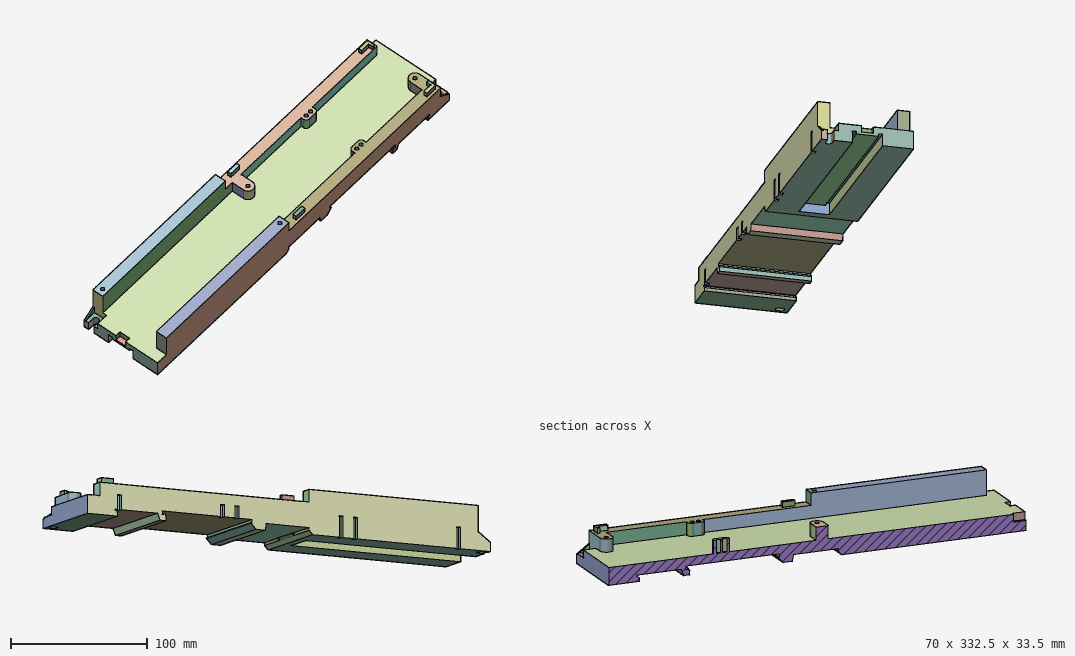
import cadquery as cq

WIDTH = 70.0
LENGTH = 332.5
HEIGHT = 33.5

FLOOR_Z = 14.0
RIM_Z = 24.0
TAB_Z = 28.0
PAD_Z = 8.0

WALL_WIDTH = 9.5
WALL_INSET = 10.0
HIGH_WALL_END = 149.75
MID_X = WIDTH / 2
WALL_BACK = LENGTH - WALL_INSET

SEAT_Z = 5.0
RELIEF_Z = 7.0
LIP_Z = 4.5
HOOK_Y = 307.75
HOOK_UNDERCUT = 1.75
HOOK_TIP_Z = 2.6
LATCH_FRONT = 267.75
LATCH_BACK = 274.75
LATCH_GAP_Y = 270.75
LATCH_TAPER = 2.0
LATCH_NOSE = 1.0
LATCH_NOSE_Z = 3.5
FOOT_FRONT = 185.0
FOOT_BACK = 196.75
FOOT_DRAFT = 1.0
FOOT_LIP = 1.25
FOOT_SLOPE = 4.5
SLIDER_END = 149.75
SLIDER_BEVEL = 3.0
SLIDER_TIP = 2.0

CHANNEL_WIDTH = 23.0
CHANNEL_Z = 9.0
CHANNEL_LENGTH = 140.0
BAR_WIDTH = 17.0
BAR_Z = 7.0
TOOL_SLOT_WIDTH = 9.0
TOOL_SLOT_DEPTH = 4.5

PAD_WIDTH = 13.0
LIP_WIDTH = 1.5
LIP_FRONT_Z = 7.0
MOUNT_X = 7.0
MOUNT_Y = 5.25
MOUNT_WIDTH = 5.0
MOUNT_LONG = 7.0

BOSS_RADIUS = 5.0
BOSS_CENTRES = [(20.25, 162.5), (WIDTH - 20.25, WALL_BACK - BOSS_RADIUS)]
PILOT_DIAMETER = 3.0
PILOT_DEPTH = 10.0
WALL_HOLE_INSET = 5.0
WALL_HOLES = [(WALL_HOLE_INSET, 15.25), (WIDTH - WALL_HOLE_INSET, 145.25)]

TWIN_X = 11.0
TWIN_Y = 242.5
TWIN_PITCH = 5.0
TWIN_PAD_LENGTH = 13.0
TWIN_PAD_REACH = 5.25
TWIN_CORNER = 3.0

TAB_X = 2.5
TAB_WIDTH = 3.0
TAB_LENGTH = 10.0
END_TAB_Y = 309.75
MID_TAB_Y = 160.75
TAB_FOOT_WIDTH = 2.0

GROOVE_WIDTH = 3.0
GROOVE_DEPTH = 3.0
GROOVE_Z = 16.0
GROOVE_OFFSETS = [43.0, 55.0, 140.0]


def box(x0, x1, y0, y1, z0, z1):
    """Axis-aligned block between the given limits."""
    return cq.Workplane("XY").box(x1 - x0, y1 - y0, z1 - z0, centered=False).translate((x0, y0, z0))


def side_prism(points, x0, x1):
    """Prism with a (Y, Z) outline, running from x0 to x1."""
    return cq.Workplane("YZ", origin=(x0, 0, 0)).polyline(points).close().extrude(x1 - x0)


def cylinder(x, y, radius, z0, z1):
    """Upright cylinder between two levels."""
    return cq.Workplane("XY", origin=(x, y, z0)).circle(radius).extrude(z1 - z0)


def mirror_x(body):
    """Copy of a body on the opposite side of the centre plane."""
    return body.mirror("YZ", (MID_X, 0, 0))


def half_turn(body):
    """Copy of a body turned 180 degrees about the centre of the part."""
    return body.rotate((MID_X, LENGTH / 2, 0), (MID_X, LENGTH / 2, 1), 180)


def base():
    """Floor slab whose underside carries the rail hooks, latch, foot and slider end."""
    outline = [
        (0, 0),
        (SLIDER_END - SLIDER_BEVEL, 0),
        (SLIDER_END, SLIDER_BEVEL),
        (SLIDER_END, SEAT_Z),
        (FOOT_FRONT, SEAT_Z),
        (FOOT_FRONT + FOOT_DRAFT, 0),
        (FOOT_BACK + FOOT_LIP - FOOT_SLOPE, 0),
        (FOOT_BACK + FOOT_LIP, LIP_Z),
        (FOOT_BACK, LIP_Z),
        (FOOT_BACK, RELIEF_Z),
        (LATCH_GAP_Y, RELIEF_Z),
        (LATCH_GAP_Y, LIP_Z),
        (LATCH_FRONT + LATCH_NOSE, SEAT_Z),
        (LATCH_FRONT, LATCH_NOSE_Z),
        (LATCH_FRONT, 0),
        (LATCH_BACK - LATCH_TAPER, 0),
        (LATCH_BACK, SEAT_Z),
        (HOOK_Y + HOOK_UNDERCUT, SEAT_Z),
        (HOOK_Y + HOOK_UNDERCUT, LIP_Z),
        (HOOK_Y, HOOK_TIP_Z),
        (HOOK_Y, 0),
        (LENGTH, 0),
        (LENGTH, FLOOR_Z),
        (0, FLOOR_Z),
    ]
    return side_prism(outline, 0, WIDTH)


def walls():
    """Stepped side walls: high in front, low behind."""
    outline = [
        (WALL_INSET, FLOOR_Z),
        (WALL_BACK, FLOOR_Z),
        (WALL_BACK, RIM_Z),
        (HIGH_WALL_END, RIM_Z),
        (HIGH_WALL_END, HEIGHT),
        (WALL_INSET, HEIGHT),
    ]
    wall = side_prism(outline, 0, WALL_WIDTH)
    return wall.union(mirror_x(wall))


def slider_channel():
    """Channel under the front end, less the slider bar along its roof."""
    channel_x = MID_X - CHANNEL_WIDTH / 2
    bar_x = MID_X - BAR_WIDTH / 2
    channel = box(channel_x, WIDTH - channel_x, 0, CHANNEL_LENGTH, 0, CHANNEL_Z)
    bar = box(bar_x, WIDTH - bar_x, 0, CHANNEL_LENGTH, BAR_Z, CHANNEL_Z)
    return channel.cut(bar)


def tool_slot():
    """Notch in the front edge that exposes the end of the slider bar."""
    slot_x = MID_X - TOOL_SLOT_WIDTH / 2
    return box(slot_x, WIDTH - slot_x, 0, TOOL_SLOT_DEPTH, CHANNEL_Z, FLOOR_Z)


def slider_tip():
    """Bevelled nose of the slider that reaches under the rail edge."""
    outline = [
        (SLIDER_END, SLIDER_BEVEL),
        (SLIDER_END + SLIDER_TIP, LIP_Z),
        (SLIDER_END, LIP_Z),
    ]
    tip_x = MID_X - CHANNEL_WIDTH / 2
    return side_prism(outline, tip_x, WIDTH - tip_x)


def corner_pocket():
    """Lowered mounting pad with a thin sloping lip on the outer side."""
    pad = box(LIP_WIDTH, PAD_WIDTH, 0, WALL_INSET, PAD_Z, FLOOR_Z)
    slope = [(0, LIP_FRONT_Z), (WALL_INSET, FLOOR_Z), (0, FLOOR_Z)]
    return pad.union(side_prism(slope, 0, LIP_WIDTH))


def open_mount_slot():
    """U-shaped screw slot open to the front."""
    radius = MOUNT_WIDTH / 2
    channel = box(MOUNT_X - radius, MOUNT_X + radius, 0, MOUNT_Y, 0, PAD_Z)
    return channel.union(cylinder(MOUNT_X, MOUNT_Y, radius, 0, PAD_Z))


def closed_mount_slot():
    """Oblong screw hole in the back right corner."""
    plane = cq.Workplane("XY", origin=(WIDTH - MOUNT_X, LENGTH - MOUNT_Y, 0))
    return plane.slot2D(MOUNT_LONG, MOUNT_WIDTH).extrude(PAD_Z)


def screw_boss(x, y):
    """Round-ended boss that joins the nearer side wall."""
    wall_x = WALL_WIDTH if x < MID_X else WIDTH - WALL_WIDTH
    arm = box(min(x, wall_x), max(x, wall_x), y - BOSS_RADIUS, y + BOSS_RADIUS, FLOOR_Z, RIM_Z)
    return arm.union(cylinder(x, y, BOSS_RADIUS, FLOOR_Z, RIM_Z))


def pilot_hole(x, y, top):
    """Blind pilot hole going down from the given level."""
    return cylinder(x, y, PILOT_DIAMETER / 2, top - PILOT_DEPTH, top)


def twin_pad():
    """Pad with rounded corners on the left wall around the pair of pilot holes."""
    half_length = TWIN_PAD_LENGTH / 2
    tip_x = WALL_WIDTH + TWIN_PAD_REACH
    pad = box(WALL_WIDTH, tip_x, TWIN_Y - half_length, TWIN_Y + half_length, FLOOR_Z, RIM_Z)
    return pad.edges("|Z and >X").fillet(TWIN_CORNER)


def rim_tabs():
    """Straight middle tab and L-shaped end tab on the left rim."""
    tab_end = END_TAB_Y + TAB_LENGTH
    middle = box(TAB_X, TAB_X + TAB_WIDTH, MID_TAB_Y, MID_TAB_Y + TAB_LENGTH, RIM_Z, TAB_Z)
    leg = box(TAB_X, TAB_X + TAB_WIDTH, END_TAB_Y, tab_end, RIM_Z, TAB_Z)
    foot = box(TAB_X, WALL_WIDTH, tab_end - TAB_FOOT_WIDTH, tab_end, RIM_Z, TAB_Z)
    return middle.union(leg).union(foot)


def side_groove(y):
    """Upright groove in the -X face, open at the underside."""
    return box(0, GROOVE_DEPTH, y - GROOVE_WIDTH / 2, y + GROOVE_WIDTH / 2, 0, GROOVE_Z)


body = base().union(walls()).union(slider_tip())
for boss_x, boss_y in BOSS_CENTRES:
    body = body.union(screw_boss(boss_x, boss_y))
for added in (twin_pad(), rim_tabs()):
    body = body.union(added).union(mirror_x(added))

for removed in (corner_pocket(), half_turn(corner_pocket()), open_mount_slot(), closed_mount_slot()):
    body = body.cut(removed)
body = body.cut(slider_channel()).cut(tool_slot())

for hole_x, hole_y in BOSS_CENTRES:
    body = body.cut(pilot_hole(hole_x, hole_y, RIM_Z))
for hole_x, hole_y in WALL_HOLES:
    body = body.cut(pilot_hole(hole_x, hole_y, HEIGHT))
for hole_x in (TWIN_X, WIDTH - TWIN_X):
    for hole_y in (TWIN_Y - TWIN_PITCH / 2, TWIN_Y + TWIN_PITCH / 2):
        body = body.cut(pilot_hole(hole_x, hole_y, RIM_Z))

for offset in GROOVE_OFFSETS:
    for groove_y in (LENGTH / 2 - offset, LENGTH / 2 + offset):
        body = body.cut(side_groove(groove_y))

result = body